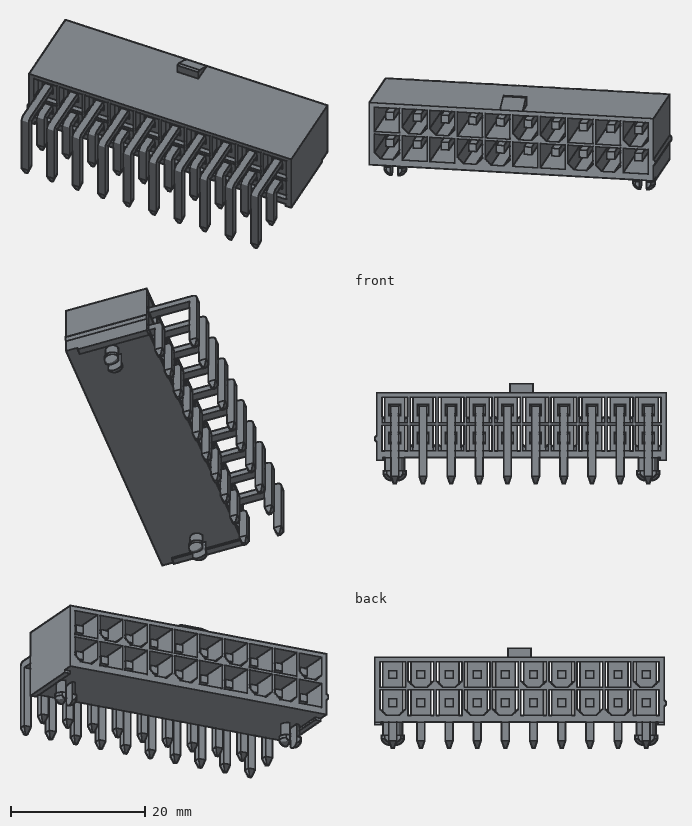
import cadquery as cq
import math


overall_length = 43.5
rib_height = 0.3
housing_length = overall_length - rib_height
housing_depth = 12.8
housing_bottom = 0.4
housing_top = 10.1
foot_width = 0.95
foot_setback = 1.83
foot_depth = housing_depth - foot_setback

columns = 10
row_length = 37.8
pitch = row_length / (columns - 1)
column_x = [(i - (columns - 1) / 2) * pitch for i in range(columns)]
lower_row_z = 3.3
upper_row_z = lower_row_z + pitch
cell_size = 3.8
pocket_depth = 0.8
web_thickness = 2.0
cavity_start = pocket_depth + web_thickness
slit_width = 0.4
key_chamfer = 0.95

pin_size = 1.17
pin_end_recess = 2.18
pin_inner_end = housing_depth - pin_end_recess
funnel_size = 1.75
bend_radius = 0.75
pin_bottom = -3.5
tip_height = 1.15
tip_size = 0.4
long_reach = 7.18
short_reach = 1.7

latch_width = 3.45
latch_length = 3.05
latch_flat = 0.52
latch_height = 1.35

rib_z = 3.2
rib_half_width = 0.5

peg_y = 6.2
peg_radius = 1.05
peg_slot = 1.15
peg_spread = 0.85
collar_radius = 1.25
barb_width = 2.05
collar_top = -1.55
dome_top = -2.1
peg_bottom = -3.05


def box(x_range, y_range, z_range):
    """Box spanning the given (low, high) range on each axis."""
    size = [high - low for low, high in (x_range, y_range, z_range)]
    return cq.Workplane("XY").box(*size, centered=False).translate((x_range[0], y_range[0], z_range[0]))


def around(center, width):
    """Range of the given width about a center."""
    return (center - width / 2, center + width / 2)


def make_housing():
    half = housing_length / 2
    housing = box((-half, half), (0, housing_depth), (housing_bottom, housing_top))
    for x_range in ((-half, foot_width - half), (half - foot_width, half)):
        housing = housing.union(box(x_range, (0, foot_depth), (0, housing_bottom)))
    return housing


def make_latch():
    back = housing_depth
    front = back - latch_length
    peak = housing_top + latch_height
    return (
        cq.Workplane("YZ")
        .polyline([(back, housing_top), (front, housing_top), (front, peak), (front + latch_flat, peak)])
        .close()
        .extrude(latch_width / 2, both=True)
    )


def make_rib():
    wall_x = -housing_length / 2
    return (
        cq.Workplane("XZ")
        .moveTo(wall_x, rib_z - rib_half_width)
        .threePointArc((wall_x - rib_height, rib_z), (wall_x, rib_z + rib_half_width))
        .close()
        .extrude(-housing_depth)
    )


def make_cell(x, z, keyed):
    """Space cut out for one contact: pin pocket, web slits, funnel and plug cavity."""
    cell_x = around(x, cell_size)
    cell_z = around(z, cell_size)
    cavity = box(cell_x, (cavity_start, housing_depth), cell_z)
    if keyed:
        cavity = cavity.edges("|Y and <Z").chamfer(key_chamfer)
    cell = cavity.union(box(cell_x, (0, pocket_depth), cell_z))
    for slit_x in ((cell_x[0], cell_x[0] + slit_width), (cell_x[1] - slit_width, cell_x[1])):
        cell = cell.union(box(slit_x, (0, cavity_start), cell_z))
    funnel = (
        cq.Workplane("XZ", origin=(x, pocket_depth, z))
        .rect(funnel_size, funnel_size)
        .workplane(offset=-web_thickness / 2)
        .rect(pin_size, pin_size)
        .loft()
    )
    return cell.union(funnel)


def make_pin(x, z, reach):
    """Square pin through the web, bent down at -Y, with a tapered tip."""
    pin_x = around(x, pin_size)
    pin_z = around(z, pin_size)
    tip_top = pin_bottom + tip_height
    leg = box(pin_x, (-reach, pin_size - reach), (tip_top, pin_z[1]))
    pin = box(pin_x, (-reach, pin_inner_end), pin_z).union(leg)
    pin = pin.edges("|X and <Y and >Z").fillet(bend_radius)
    tip = (
        cq.Workplane("XY", origin=(x, pin_size / 2 - reach, tip_top))
        .rect(pin_size, pin_size)
        .workplane(offset=-tip_height)
        .rect(tip_size, tip_size)
        .loft()
    )
    return pin.union(tip)


def make_peg_half(x, side):
    """Half-round leg with a domed, flat-sided barb; side is -1 or +1 along X."""
    dome_height = dome_top - peg_bottom
    dome_radius = (collar_radius**2 + dome_height**2) / (2 * dome_height)
    mid_radius = collar_radius / 2
    mid_z = peg_bottom + dome_radius - math.sqrt(dome_radius**2 - mid_radius**2)
    leg = (
        cq.Workplane("XZ")
        .moveTo(0, housing_bottom)
        .lineTo(peg_radius, housing_bottom)
        .lineTo(peg_radius, collar_top)
        .lineTo(collar_radius, collar_top)
        .lineTo(collar_radius, dome_top)
        .threePointArc((mid_radius, mid_z), (0, peg_bottom))
        .close()
        .revolve(360, (0, 0, 0), (0, 1, 0))
    )
    slot_face = (peg_slot - peg_spread) / 2
    outer_half = box(
        sorted((side * slot_face, side * collar_radius)),
        around(0, barb_width),
        (peg_bottom, housing_bottom),
    )
    return leg.intersect(outer_half).translate((x + side * peg_spread / 2, peg_y, 0))


result = make_housing().union(make_latch()).union(make_rib())

for column, x in enumerate(column_x):
    upper_keyed = column % 4 in (0, 3)
    result = result.cut(make_cell(x, upper_row_z, upper_keyed))
    result = result.cut(make_cell(x, lower_row_z, not upper_keyed))

for x in column_x:
    result = result.union(make_pin(x, upper_row_z, long_reach))
    result = result.union(make_pin(x, lower_row_z, short_reach))

for x in (column_x[0], column_x[-1]):
    for side in (-1, 1):
        result = result.union(make_peg_half(x, side))